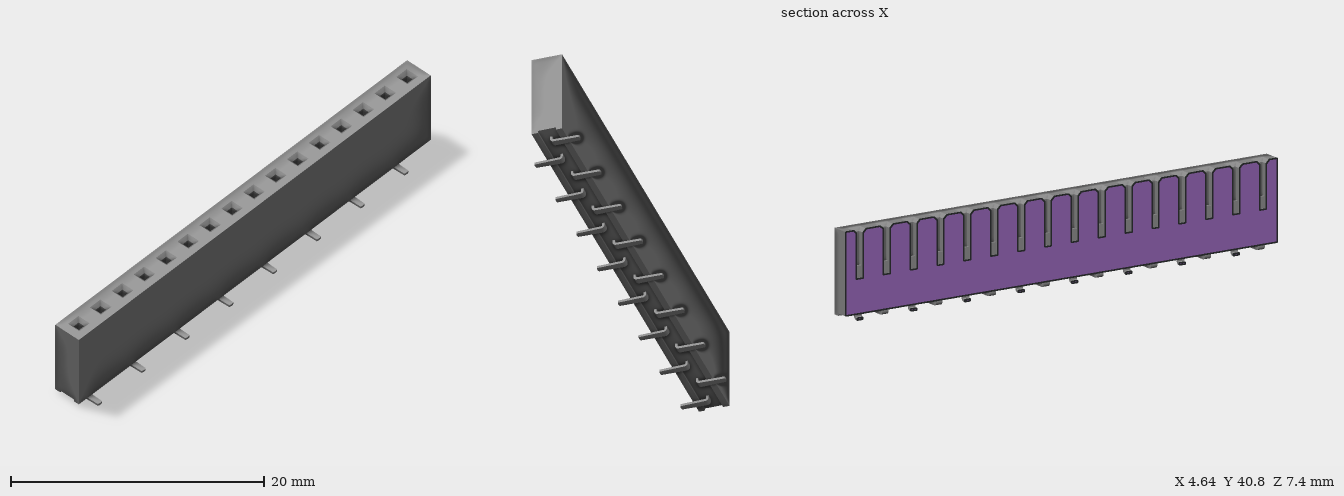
import cadquery as cq

contact_count = 16
pitch = 2.54
end_margin = 0.1
housing_width = 2.54
housing_length = contact_count * pitch + 2 * end_margin
housing_top = 7.4
housing_bottom = 0.3

channel_width = 1.5
channel_depth = 0.2

mouth_size = 1.2
hole_width = 0.6
hole_length = 0.6
mouth_depth = 0.3
hole_depth = 4.0
hole_floor = housing_top - hole_depth

lead_span = 4.64
lead_reach = lead_span / 2
sheet_thickness = 0.2
half_sheet = sheet_thickness / 2
inner_bend_radius = 0.1
outer_bend_radius = inner_bend_radius + sheet_thickness
bend_end = outer_bend_radius - half_sheet
blade_width = hole_length
tip_width = 0.48
nose_bulge = 0.05
blade_height_in_socket = 1.0
blade_top = hole_floor + blade_height_in_socket


def make_housing():
    """Long bar with a shallow channel running along its underside."""
    bar = cq.Workplane("XY", origin=(0, 0, housing_bottom)).box(
        housing_width, housing_length, housing_top - housing_bottom, centered=(True, True, False)
    )
    channel = cq.Workplane("XY", origin=(0, 0, housing_bottom)).box(
        channel_width, housing_length, channel_depth, centered=(True, True, False)
    )
    return bar.cut(channel)


def make_socket(y):
    """Cutter for one socket: a tapered mouth above a straight blind hole."""
    mouth = (
        cq.Workplane("XY", origin=(0, y, housing_top))
        .rect(mouth_size, mouth_size)
        .workplane(offset=-mouth_depth)
        .rect(hole_width, hole_length)
        .loft(ruled=True)
    )
    hole = cq.Workplane("XY", origin=(0, y, hole_floor)).box(
        hole_width, hole_length, hole_depth - mouth_depth, centered=(True, True, False)
    )
    return mouth.union(hole)


def make_sheet_profile(side):
    """Blade and lead as a bent sheet of constant thickness and full width."""
    outer_face = -side * half_sheet
    inner_face = side * half_sheet
    return (
        cq.Workplane("XZ")
        .moveTo(side * lead_reach, 0)
        .lineTo(side * bend_end, 0)
        .radiusArc((outer_face, outer_bend_radius), side * outer_bend_radius)
        .lineTo(outer_face, blade_top)
        .lineTo(inner_face, blade_top)
        .lineTo(inner_face, outer_bend_radius)
        .radiusArc((side * bend_end, sheet_thickness), -side * inner_bend_radius)
        .lineTo(side * lead_reach, sheet_thickness)
        .close()
        .extrude(blade_width / 2, both=True)
    )


def make_plan_outline(side):
    """Plan shape of a contact: full width to the bend, then tapering to a rounded nose."""
    back = -side * half_sheet
    taper_start = side * bend_end
    nose_start = side * (lead_reach - nose_bulge)
    return (
        cq.Workplane("XY")
        .moveTo(back, -blade_width / 2)
        .lineTo(taper_start, -blade_width / 2)
        .lineTo(nose_start, -tip_width / 2)
        .threePointArc((side * lead_reach, 0), (nose_start, tip_width / 2))
        .lineTo(taper_start, blade_width / 2)
        .lineTo(back, blade_width / 2)
        .close()
        .extrude(blade_top)
    )


def make_contact(y, side):
    """One contact whose lead points along +X (side = 1) or -X (side = -1)."""
    contact = make_sheet_profile(side).intersect(make_plan_outline(side))
    return contact.translate((0, y, 0))


housing = make_housing()
contacts = []
for index in range(contact_count):
    contact_y = (index - (contact_count - 1) / 2) * pitch
    lead_side = 1 if index % 2 == 0 else -1
    housing = housing.cut(make_socket(contact_y))
    contacts.append(make_contact(contact_y, lead_side))

result = housing
for contact in contacts:
    result = result.union(contact)